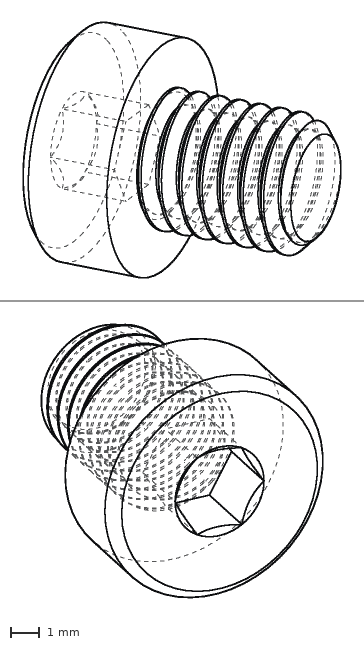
import cadquery as cq
import math

total_length = 9.5

head_diameter = 8.5
head_length = 3.51
head_chamfer = 0.44

socket_flats = 3.0
socket_depth = 2.5
socket_corners = socket_flats / math.cos(math.radians(30))
entry_cone_angle = 45.0

shank_length = total_length - head_length
pitches_on_shank = 7.5
pitch = shank_length / pitches_on_shank
major_radius = 5.02 / 2
root_radius = 3.95 / 2
tip_radius = 3.8 / 2
crest_width = pitch / 8
half_thread_angle = math.radians(30)
root_overlap = 0.03
extra_turns = 1.25
lead_out_turns = 1.25


def make_head():
    head = cq.Workplane("YZ").circle(head_diameter / 2).extrude(head_length)
    return head.faces("<X").chamfer(head_chamfer)


def make_socket():
    """Hexagonal hole with a conical entry that trims its flats."""
    hexagon = cq.Workplane("YZ").polygon(6, socket_corners).extrude(socket_depth)
    entry_radius = socket_corners / 2
    cone_length = entry_radius / math.tan(math.radians(entry_cone_angle))
    cone = cq.Solid.makeCone(
        entry_radius, 0, cone_length, cq.Vector(0, 0, 0), cq.Vector(1, 0, 0)
    )
    return hexagon.union(cq.Workplane(obj=cone))


def make_tip_envelope():
    """45 degree cone narrowing to the tip, wider than the shank elsewhere."""
    cone = cq.Solid.makeCone(
        tip_radius + total_length,
        tip_radius,
        total_length,
        cq.Vector(0, 0, 0),
        cq.Vector(1, 0, 0),
    )
    return cq.Workplane(obj=cone)


def shank_cylinder(radius):
    """Cylinder from the back of the head to past the tip."""
    length = shank_length + 2 * pitch
    return cq.Workplane("YZ", origin=(head_length, 0, 0)).circle(radius).extrude(length)


def make_thread_ridge():
    """Sharp V ridge on a helix, running past the shank ends and its crest."""
    start = head_length - extra_turns * pitch
    turns = extra_turns + pitches_on_shank + lead_out_turns
    inner_radius = root_radius - root_overlap
    apex_radius = major_radius + crest_width / 2 / math.tan(half_thread_angle)
    half_base = (apex_radius - inner_radius) * math.tan(half_thread_angle)
    helix = cq.Wire.makeHelix(pitch, turns * pitch, root_radius)
    ridge = (
        cq.Workplane("XZ")
        .polyline([
            (inner_radius, -half_base),
            (apex_radius, 0),
            (inner_radius, half_base),
        ])
        .close()
        .sweep(cq.Workplane(obj=helix), isFrenet=True)
    )
    return ridge.rotate((0, 0, 0), (0, 1, 0), 90).translate((start, 0, 0))


def make_threaded_shank():
    tip = make_tip_envelope()
    thread = make_thread_ridge().intersect(shank_cylinder(major_radius)).intersect(tip)
    core = shank_cylinder(root_radius).intersect(tip)
    return core.union(thread)


result = make_head().cut(make_socket()).union(make_threaded_shank())